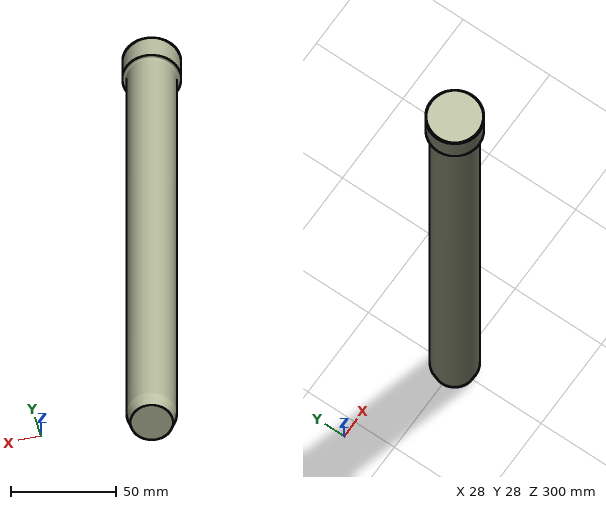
import cadquery as cq
import math

total_length = 300.0
head_diameter = 28.0
head_height = 15.0
head_chamfer = 0.5
shaft_diameter = 24.0
neck_fillet_radius = 0.8
tip_height = 7.0
tip_half_angle = 15.0

head_radius = head_diameter / 2
shaft_radius = shaft_diameter / 2
tip_radius = shaft_radius - tip_height * math.tan(math.radians(tip_half_angle))
head_underside = total_length - head_height


def half_profile():
    """Half section of the pin on the XZ plane, with the pin axis as its closing edge."""
    neck_outer_radius = shaft_radius + neck_fillet_radius
    neck_bottom = head_underside - neck_fillet_radius
    profile = cq.Workplane("XZ").moveTo(0, 0)

    profile = profile.lineTo(-tip_radius, 0)
    profile = profile.lineTo(-shaft_radius, tip_height)
    profile = profile.lineTo(-shaft_radius, neck_bottom)

    profile = profile.tangentArcPoint((-neck_outer_radius, head_underside), relative=False)

    profile = profile.lineTo(-head_radius, head_underside)
    profile = profile.lineTo(-head_radius, total_length - head_chamfer)
    profile = profile.lineTo(-(head_radius - head_chamfer), total_length)
    profile = profile.lineTo(0, total_length)
    return profile.close()


def make_pin():
    """Full pin, turned about the Z axis."""
    return half_profile().revolve(360, (0, 0, 0), (0, 1, 0))


result = make_pin()